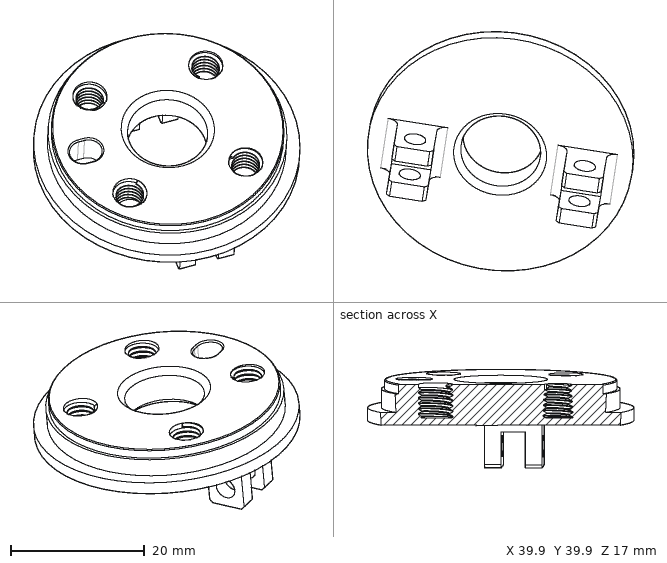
import cadquery as cq
import math

SPIN = -3.75
TILT = 5.0

OUTER_LENGTH = 39.93
FLANGE_THICKNESS = 1.9
TILT_RADIANS = math.radians(TILT)
FLANGE_DIAMETER = (OUTER_LENGTH - FLANGE_THICKNESS * math.sin(TILT_RADIANS)) / math.cos(TILT_RADIANS)
SEAT_DIAMETER = 35.78
SEAT_HEIGHT = 2.8
RIM_DIAMETER = 34.8
RIM_HEIGHT = 1.45
RIM_CHAMFER = 0.15
DISC_HEIGHT = FLANGE_THICKNESS + SEAT_HEIGHT + RIM_HEIGHT

BORE_DIAMETER = 11.98
FLARE_WIDTH = 1.0
FLARE_DEPTH = 1.0

HOLE_CIRCLE_RADIUS = 12.98
HOLE_DEPTH = 5.0
HOLE_FLOOR_Z = DISC_HEIGHT - HOLE_DEPTH

HOLE_COUNT = 4
FIRST_HOLE_ANGLE = 45.0
THREAD_MAJOR_DIAMETER = 5.1
THREAD_MINOR_DIAMETER = 4.15
THREAD_PITCH = 0.8
RIDGE_BASE_WIDTH = THREAD_PITCH * 7 / 8
RIDGE_FLANK_ANGLE = 30.0
RIDGE_EMBED = 0.05
RIDGE_TURNS = 6.5
RIDGE_TOP_GAP = 0.05

SLOT_WIDTH = 4.0
SLOT_LENGTH = 4.95
SLOT_CHAMFER = 0.25

LUG_OFFSET = 12.85
LUG_CENTER_Y = 1.2
LUG_LENGTH = 6.0
LUG_WIDTH = 8.62
LUG_DROP = 8.05
LUG_BLEND_RADIUS = 1.5
LUG_CORNER_CHAMFER = 0.5
FORK_GAP = 3.6
FORK_ROOF_DROP = 2.65
PIN_DIAMETER = 3.2
PIN_DROP = 5.0


def make_disc():
    flange = cq.Workplane("XY").circle(FLANGE_DIAMETER / 2).extrude(FLANGE_THICKNESS)
    seat = flange.faces(">Z").workplane().circle(SEAT_DIAMETER / 2).extrude(SEAT_HEIGHT)
    rim = seat.faces(">Z").workplane().circle(RIM_DIAMETER / 2).extrude(RIM_HEIGHT)
    return rim.faces(">Z").edges().chamfer(RIM_CHAMFER)


def make_bore():
    inner = BORE_DIAMETER / 2
    outer = inner + FLARE_WIDTH
    profile = [
        (0, 0),
        (outer, 0),
        (inner, FLARE_DEPTH),
        (inner, DISC_HEIGHT - FLARE_DEPTH),
        (outer, DISC_HEIGHT),
        (0, DISC_HEIGHT),
    ]
    return cq.Workplane("XZ").polyline(profile).close().revolve(360, (0, 0), (0, 1))


def make_threaded_hole():
    """Blind hole beside the disc axis on +X, leaving a helical ridge standing on its wall."""
    major_radius = THREAD_MAJOR_DIAMETER / 2
    minor_radius = THREAD_MINOR_DIAMETER / 2
    outer_radius = major_radius + RIDGE_EMBED
    flank_slope = math.tan(math.radians(RIDGE_FLANK_ANGLE))
    half_base = RIDGE_BASE_WIDTH / 2
    half_crest = half_base - (major_radius - minor_radius) * flank_slope
    half_outer = half_base + RIDGE_EMBED * flank_slope

    ridge_rise = RIDGE_TURNS * THREAD_PITCH
    start_z = DISC_HEIGHT - RIDGE_TOP_GAP - half_base - ridge_rise
    section = [
        (minor_radius, start_z - half_crest),
        (minor_radius, start_z + half_crest),
        (outer_radius, start_z + half_outer),
        (outer_radius, start_z - half_outer),
    ]
    helix = cq.Wire.makeHelix(THREAD_PITCH, ridge_rise, minor_radius, cq.Vector(0, 0, start_z))
    ridge = cq.Workplane("XZ").polyline(section).close().sweep(cq.Workplane(helix), isFrenet=True)

    bore = cq.Workplane("XY", origin=(0, 0, HOLE_FLOOR_Z)).circle(major_radius).extrude(HOLE_DEPTH)
    return bore.cut(ridge).translate((HOLE_CIRCLE_RADIUS, 0, 0))


def make_slot():
    slot = (
        cq.Workplane("XY", origin=(0, -HOLE_CIRCLE_RADIUS, HOLE_FLOOR_Z))
        .slot2D(SLOT_LENGTH, SLOT_WIDTH, 90)
        .extrude(HOLE_DEPTH)
    )
    countersink = (
        cq.Workplane("XY", origin=(0, -HOLE_CIRCLE_RADIUS, DISC_HEIGHT))
        .slot2D(SLOT_LENGTH + 2 * SLOT_CHAMFER, SLOT_WIDTH + 2 * SLOT_CHAMFER, 90)
        .extrude(-SLOT_CHAMFER, taper=45)
    )
    return slot.union(countersink)


def make_lug(center_x):
    """Forked lug, blended into the flange at both X ends and cross-drilled along Y."""
    half = LUG_LENGTH / 2
    blended = half + LUG_BLEND_RADIUS
    front_y = LUG_CENTER_Y - LUG_WIDTH / 2
    plane = cq.Workplane("XZ", origin=(center_x, front_y, 0))
    lug = (
        plane.moveTo(-blended, 0)
        .radiusArc((-half, -LUG_BLEND_RADIUS), LUG_BLEND_RADIUS)
        .lineTo(-half, LUG_CORNER_CHAMFER - LUG_DROP)
        .lineTo(LUG_CORNER_CHAMFER - half, -LUG_DROP)
        .lineTo(half - LUG_CORNER_CHAMFER, -LUG_DROP)
        .lineTo(half, LUG_CORNER_CHAMFER - LUG_DROP)
        .lineTo(half, -LUG_BLEND_RADIUS)
        .radiusArc((blended, 0), LUG_BLEND_RADIUS)
        .close()
        .extrude(-LUG_WIDTH)
    )
    gap = (
        cq.Workplane("XY", origin=(center_x, LUG_CENTER_Y, -LUG_DROP))
        .rect(LUG_LENGTH, FORK_GAP)
        .extrude(LUG_DROP - FORK_ROOF_DROP)
    )
    pin_hole = plane.center(0, -PIN_DROP).circle(PIN_DIAMETER / 2).extrude(-LUG_WIDTH)
    return lug.cut(gap).cut(pin_hole)


body = make_disc()
for side in (-1, 1):
    body = body.union(make_lug(side * LUG_OFFSET))
body = body.cut(make_bore())
body = body.cut(make_slot())

threaded_hole = make_threaded_hole()
for index in range(HOLE_COUNT):
    hole_angle = FIRST_HOLE_ANGLE + index * 360 / HOLE_COUNT
    body = body.cut(threaded_hole.rotate((0, 0, 0), (0, 0, 1), hole_angle))

result = body.rotate((0, 0, 0), (0, 0, 1), SPIN).rotate((0, 0, 0), (0, 1, 0), TILT)